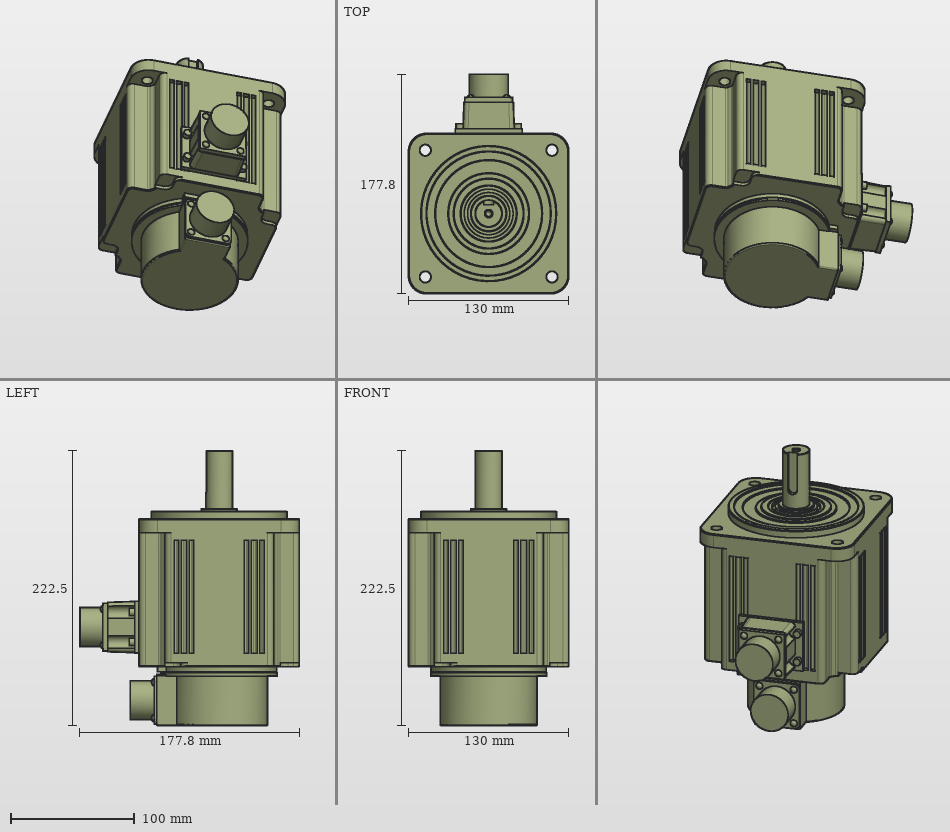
import cadquery as cq
import math


FRAME = 130.0
HALF = FRAME / 2
FLANGE_CORNER_R = 15.0
FLANGE_LIP = 11.5
FRONT_CAP = 17.5
FRAME_LENGTH = 120.0
REAR_CAP = 11.0
EDGE_CHAMFER = 0.8
NOTCH_WALL = 44.0
FRAME_R = 5.0
NOTCH_WEB = 4.1
NOTCH_WEB_R = 2.7
BOLT_CIRCLE = 145.0
BOLT_D = 9.0

GROOVE_CENTRE = 28.4
GROOVE_PITCH = 6.1
GROOVE_WIDTH = 4.7
SIDE_GROOVE_WIDTH = 3.6
GROOVE_DEPTH = 4.0
GROOVE_FLOOR = 1.4
GROOVE_FLOOR_R = (GROOVE_WIDTH - GROOVE_FLOOR) / 2
SIDE_GROOVE_FLOOR_R = 1.4

RELIEF_HEIGHT = 3.3
RELIEF_END = 26.0
RELIEF_OUTER_R = 5.0
RELIEF_INNER_R = 6.2
RELIEF_FLOOR = 49.5

PILOT_R = 55.0
PILOT_HEIGHT = 6.0
PILOT_CHAMFER = 0.6
CHANNEL_STEP = 1.0
STEP_RUN = 0.6
CHANNEL_OUTER_R = 50.0
CHANNEL_FLOOR_OUTER_R = 43.0
CHANNEL_FLOOR_INNER_R = 33.0
CHANNEL_INNER_R = 28.0
SEAL_LIP_R = 23.0
SEAL_LIP_DROP = 0.5
SEAL_BORE_R = 19.8
SEAL_R = 17.1
SEAL_GAP_DEPTH = 3.0

SHAFT_R = 11.0
SHAFT_LENGTH = 55.0
SHAFT_CHAMFER = 0.4
SHOULDER_R = 14.6
SHOULDER_TOP = 8.0
SHOULDER_CHAMFER = 0.5
KEYWAY_WIDTH = 8.0
KEYWAY_DEPTH = 4.0
KEYWAY_LENGTH = 35.0
CENTRE_HOLE_D = 5.0
CENTRE_SINK_D = 6.6
CENTRE_HOLE_DEPTH = 16.0
CENTRE_SINK_ANGLE = 90.0
DRILL_TIP_ANGLE = 118.0

PLUG_R = 15.9
PLUG_PLATE_SIZE = 38.8
SCREW_OFFSET = 14.6
SCREW_BASE_R = 2.9
SCREW_HEIGHT = 2.1

POWER_Z = -87.8
POWER_END_Y = 112.75
POWER_BASE_WIDTH = 54.4
POWER_BASE_HEIGHT = 42.0
POWER_BASE_THICK = 3.5
POWER_BOX_END_Y = 90.0
POWER_BOX_ROOT = 41.6
POWER_BOX_TIP = 40.2
POWER_BOX_R = 4.0
POWER_PLATE_THICK = 4.0
SCOOP_R = 5.0
SCOOP_Z = 12.1
BASE_SCREW_X = 23.5
BASE_SCREW_R = 3.0
BASE_SCREW_HEIGHT = 4.2

SPIGOT_R = 46.8
SPIGOT_HEIGHT = 4.0
CABLE_TAB_WIDTH = 38.5
CABLE_TAB_Y = 50.0
ENCODER_NECK_R = 46.2
ENCODER_NECK_HEIGHT = 0.8
ENCODER_RING_R = 47.1
ENCODER_RING_BOTTOM = -127.5
ENCODER_COVER_R = 39.3
ENCODER_BOTTOM = -167.5
ENCODER_EDGE = 1.0
ENCODER_BOX_Y = 50.5
ENCODER_BOX_TOP = -126.0
ENCODER_PLATE_THICK = 2.2
ENCODER_PLATE_R = 4.0
ENCODER_PLUG_Z = -147.0
ENCODER_PLUG_END_Y = 72.0


def disc(radius, bottom, top):
    return cq.Workplane("XY").workplane(offset=bottom).circle(radius).extrude(top - bottom)


def block(x_size, y_start, y_end, bottom, top):
    """Box centred on X, between the given Y and Z limits."""
    size = (x_size, y_end - y_start, top - bottom)
    box = cq.Workplane("XY").box(*size, centered=(True, False, False))
    return box.translate((0, y_start, bottom))


def y_plane(y, z):
    """Workplane facing +Y; its local x runs along -X and its local y along +Z."""
    return cq.Workplane(cq.Plane(origin=(0, y, z), xDir=(-1, 0, 0), normal=(0, 1, 0)))


def quarter_turns(shape):
    """The shape as it lies on each of the four sides."""
    return [shape.rotate((0, 0, 0), (0, 0, 1), 90 * turn) for turn in range(4)]


def make_flange():
    flange = cq.Workplane("XY").rect(FRAME, FRAME).extrude(-FLANGE_LIP)
    flange = flange.edges("|Z").fillet(FLANGE_CORNER_R)
    return flange.faces(">Z").chamfer(EDGE_CHAMFER)


def make_frame():
    """Square column with a rounded notch along each corner."""
    reach = (HALF + NOTCH_WALL) / 2
    core = cq.selectors.BoxSelector((-reach, -reach, -FRAME_LENGTH), (reach, reach, 0))
    sides = cq.selectors.ParallelDirSelector(cq.Vector(0, 0, 1))
    wide = cq.Workplane("XY").rect(FRAME, 2 * NOTCH_WALL)
    frame = wide.extrude(FLANGE_LIP - FRAME_LENGTH)
    frame = frame.union(cq.Workplane("XY").rect(2 * NOTCH_WALL, FRAME).extrude(FLANGE_LIP - FRAME_LENGTH))
    frame = frame.edges(sides - core).fillet(FRAME_R)
    frame = frame.edges(sides & core).chamfer(NOTCH_WEB)
    frame = frame.edges(sides & core).fillet(NOTCH_WEB_R)
    frame = frame.faces("<Z").chamfer(EDGE_CHAMFER)
    return frame.translate((0, 0, -FLANGE_LIP))


def make_groove(x, width, floor_r):
    """One cooling groove in the -Y side of the frame."""
    bottom = REAR_CAP - FRAME_LENGTH
    groove = block(width, -HALF - GROOVE_DEPTH, -HALF + GROOVE_DEPTH, bottom, -FRONT_CAP)
    return groove.edges("|Z and >Y").fillet(floor_r).translate((x, 0, 0))


def make_relief():
    """Shallow rear relief in the -Y side, from the corner notch to an S-shaped end."""
    start_x = -RELIEF_FLOOR
    floor_y = -RELIEF_FLOOR
    wall_x = -RELIEF_END - RELIEF_OUTER_R
    inner_x = wall_x - RELIEF_INNER_R
    inner_y = floor_y - RELIEF_INNER_R
    outer_y = -HALF + RELIEF_OUTER_R
    inner_mid = RELIEF_INNER_R * math.sqrt(0.5)
    outer_mid = RELIEF_OUTER_R * math.sqrt(0.5)
    return (
        cq.Workplane("XY")
        .workplane(offset=-FRAME_LENGTH)
        .moveTo(start_x, floor_y)
        .lineTo(inner_x, floor_y)
        .threePointArc((inner_x + inner_mid, inner_y + inner_mid), (wall_x, inner_y))
        .lineTo(wall_x, outer_y)
        .threePointArc((-RELIEF_END - outer_mid, outer_y - outer_mid), (-RELIEF_END, -HALF))
        .lineTo(start_x, -HALF)
        .close()
        .extrude(RELIEF_HEIGHT)
    )


def make_pilot():
    """Pilot, seal face and shoulder as one turned profile."""
    step = PILOT_HEIGHT - CHANNEL_STEP
    floor = PILOT_HEIGHT - 2 * CHANNEL_STEP
    lip = PILOT_HEIGHT - SEAL_LIP_DROP
    gap = PILOT_HEIGHT - SEAL_GAP_DEPTH
    profile = [
        (0, 0),
        (PILOT_R, 0),
        (PILOT_R, PILOT_HEIGHT - PILOT_CHAMFER),
        (PILOT_R - PILOT_CHAMFER, PILOT_HEIGHT),
        (CHANNEL_OUTER_R + STEP_RUN, PILOT_HEIGHT),
        (CHANNEL_OUTER_R, step),
        (CHANNEL_FLOOR_OUTER_R + STEP_RUN, step),
        (CHANNEL_FLOOR_OUTER_R, floor),
        (CHANNEL_FLOOR_INNER_R, floor),
        (CHANNEL_FLOOR_INNER_R - STEP_RUN, step),
        (CHANNEL_INNER_R + STEP_RUN, step),
        (CHANNEL_INNER_R, PILOT_HEIGHT),
        (SEAL_LIP_R, PILOT_HEIGHT),
        (SEAL_LIP_R - STEP_RUN, lip),
        (SEAL_BORE_R, lip),
        (SEAL_BORE_R, gap),
        (SEAL_R, gap),
        (SEAL_R, PILOT_HEIGHT),
        (SHOULDER_R, PILOT_HEIGHT),
        (SHOULDER_R, SHOULDER_TOP - SHOULDER_CHAMFER),
        (SHOULDER_R - SHOULDER_CHAMFER, SHOULDER_TOP),
        (0, SHOULDER_TOP),
    ]
    return cq.Workplane("XZ").polyline(profile).close().revolve(360, (0, 0, 0), (0, 1, 0))


def make_shaft():
    shaft = disc(SHAFT_R, 0, SHAFT_LENGTH).faces(">Z").chamfer(SHAFT_CHAMFER)
    shaft = shaft.faces(">Z").workplane().cskHole(
        CENTRE_HOLE_D, CENTRE_SINK_D, CENTRE_SINK_ANGLE, CENTRE_HOLE_DEPTH
    )
    tip_r = CENTRE_HOLE_D / 2
    tip_length = tip_r / math.tan(math.radians(DRILL_TIP_ANGLE / 2))
    tip_profile = cq.Workplane("XZ").polyline([(0, 0), (tip_r, 0), (0, -tip_length)]).close()
    tip = tip_profile.revolve(360, (0, 0, 0), (0, 1, 0))
    shaft = shaft.cut(tip.translate((0, 0, SHAFT_LENGTH - CENTRE_HOLE_DEPTH)))
    floor_y = SHAFT_R - KEYWAY_DEPTH
    round_z = SHAFT_LENGTH - KEYWAY_LENGTH + KEYWAY_WIDTH / 2
    keyway = block(KEYWAY_WIDTH, floor_y, SHAFT_R, round_z, SHAFT_LENGTH)
    keyway_end = y_plane(floor_y, round_z).circle(KEYWAY_WIDTH / 2).extrude(KEYWAY_DEPTH)
    return shaft.cut(keyway).cut(keyway_end)


def make_plug(plate_y, z, end_y):
    """Round plug on the plate face at plate_y, with four dome-headed screws around it."""
    plug = y_plane(plate_y, z).circle(PLUG_R).extrude(end_y - plate_y)
    sphere_r = (SCREW_BASE_R**2 + SCREW_HEIGHT**2) / (2 * SCREW_HEIGHT)
    centre_y = plate_y + SCREW_HEIGHT - sphere_r
    half_space = block(FRAME, plate_y, end_y, z - HALF, z + HALF)
    for x_side in (-1, 1):
        for z_side in (-1, 1):
            place = (x_side * SCREW_OFFSET, centre_y, z + z_side * SCREW_OFFSET)
            dome = cq.Workplane("XY").sphere(sphere_r).translate(place)
            plug = plug.union(dome.intersect(half_space))
    return plug


def make_power_connector():
    base_y = HALF + POWER_BASE_THICK
    plate_y = POWER_BOX_END_Y + POWER_PLATE_THICK
    half_height = POWER_BASE_HEIGHT / 2
    box = (
        y_plane(base_y, POWER_Z)
        .rect(POWER_BOX_ROOT, POWER_BOX_ROOT)
        .workplane(offset=POWER_BOX_END_Y - base_y)
        .rect(POWER_BOX_TIP, POWER_BOX_TIP)
        .loft()
    )
    box = box.edges("not(|X or |Z)").fillet(POWER_BOX_R)
    scoops = y_plane(base_y, POWER_Z).rect(POWER_BOX_ROOT, 2 * SCOOP_Z, forConstruction=True).vertices()
    box = box.cut(scoops.circle(SCOOP_R).extrude(POWER_BOX_END_Y - base_y))
    base = block(POWER_BASE_WIDTH, HALF, base_y, POWER_Z - half_height, POWER_Z + half_height)
    screws = y_plane(base_y, POWER_Z).rect(2 * BASE_SCREW_X, 2 * SCOOP_Z, forConstruction=True).vertices()
    heads = screws.circle(BASE_SCREW_R).extrude(BASE_SCREW_HEIGHT)
    plate = y_plane(POWER_BOX_END_Y, POWER_Z).rect(PLUG_PLATE_SIZE, PLUG_PLATE_SIZE)
    plate = plate.extrude(POWER_PLATE_THICK)
    plug = make_plug(plate_y, POWER_Z, POWER_END_Y)
    return base.union(box).union(heads).union(plate).union(plug)


def make_motor():
    motor = make_frame().union(make_flange())
    for x_side in (-1, 1):
        grooves = make_groove(x_side * GROOVE_CENTRE, GROOVE_WIDTH, GROOVE_FLOOR_R)
        for step in (-GROOVE_PITCH, GROOVE_PITCH):
            x = x_side * (GROOVE_CENTRE + step)
            grooves = grooves.union(make_groove(x, SIDE_GROOVE_WIDTH, SIDE_GROOVE_FLOOR_R))
        for cutter in quarter_turns(grooves):
            motor = motor.cut(cutter)
    for cutter in quarter_turns(make_relief()):
        motor = motor.cut(cutter)
    motor = motor.union(make_pilot()).union(make_shaft())
    bolt_span = BOLT_CIRCLE * math.sqrt(0.5)
    bolts = cq.Workplane("XY").rect(bolt_span, bolt_span, forConstruction=True).vertices()
    motor = motor.cut(bolts.circle(BOLT_D / 2).extrude(-FRAME_LENGTH))
    spigot_bottom = -FRAME_LENGTH - SPIGOT_HEIGHT
    motor = motor.union(disc(SPIGOT_R, spigot_bottom, -FRAME_LENGTH))
    motor = motor.union(block(CABLE_TAB_WIDTH, 0, CABLE_TAB_Y, spigot_bottom, -FRAME_LENGTH))
    return motor.union(make_power_connector())


def make_encoder():
    neck_top = -FRAME_LENGTH - SPIGOT_HEIGHT
    ring_top = neck_top - ENCODER_NECK_HEIGHT
    cover = disc(ENCODER_COVER_R, ENCODER_BOTTOM, ring_top)
    box = block(CABLE_TAB_WIDTH, 0, ENCODER_BOX_Y, ENCODER_BOTTOM, ENCODER_BOX_TOP)
    box = box.faces(">Z").edges("|Y").chamfer(ENCODER_EDGE)
    cover = cover.union(box).faces("<Z").edges().fillet(ENCODER_EDGE)
    cover = cover.union(disc(ENCODER_RING_R, ENCODER_RING_BOTTOM, ring_top))
    cover = cover.union(disc(ENCODER_NECK_R, ring_top, neck_top))
    plate = y_plane(ENCODER_BOX_Y, ENCODER_PLUG_Z).rect(PLUG_PLATE_SIZE, PLUG_PLATE_SIZE)
    plate = plate.extrude(ENCODER_PLATE_THICK).edges("|Y").fillet(ENCODER_PLATE_R)
    plug = make_plug(ENCODER_BOX_Y + ENCODER_PLATE_THICK, ENCODER_PLUG_Z, ENCODER_PLUG_END_Y)
    return cover.union(plate).union(plug)


motor = make_motor()
encoder = make_encoder()
result = cq.Compound.makeCompound([motor.val(), encoder.val()])